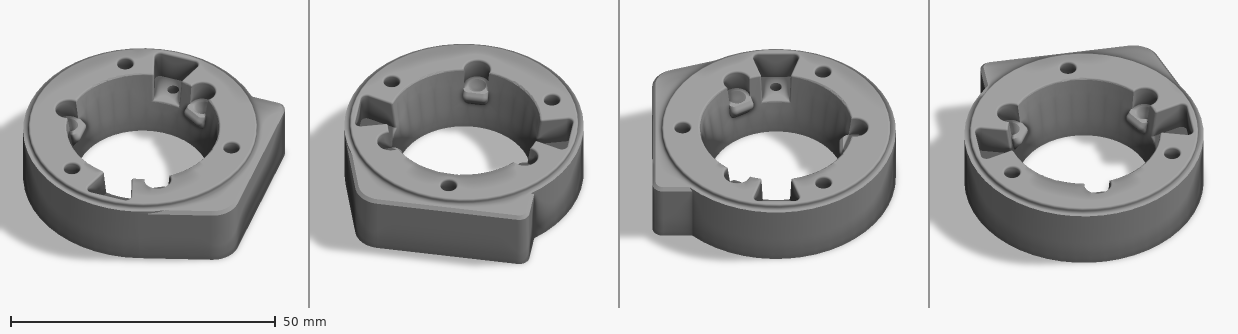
import cadquery as cq
import math

ring_diameter = 45.25
ring_radius = ring_diameter / 2
overall_length = 46
height = 13.0
shoulder_height = 12.0
edge_fillet = 0.35

rim_radius = 21.6
rim_foot_radius = 0.35

bore_bottom_radius = 12.65
bore_top_radius = 14.45

pad_right = overall_length - ring_radius
pad_top = 16.1
pad_slope = math.radians(17.3)
pad_chamfer = 0.6
pad_upper_fillet = 2.0
pad_lower_fillet = 5.0

screw_circle_radius = 17.7
screw_diameter = 3.0
screw_depth = 6.0
screw_angles = (0, 120, 240)

recess_floor = 7.0
recess_outer = 20.3
recess_inner = 9.2
recess_outer_half_width = 4.65
recess_side_slope = math.radians(17.5)
recess_corner_radius = 1.0
recess_hole_offset = 17.5
recess_hole_diameter = 2.2

seat_circle_radius = 14.8
seat_angles = (60, 180, 300)
seat_pocket_radius = 2.5
seat_height = 8.75
bracket_root = 15.65
bracket_top_end = 12.65
bracket_nose = 11.65
bracket_half_width = 2.4
bracket_under_angle = math.radians(34)
bracket_fillet = 0.9
dimple_radius = 1.75
dimple_depth = 0.75


def polar(radius, degrees):
    angle = math.radians(degrees)
    return (radius * math.cos(angle), radius * math.sin(angle))


def make_ring():
    foot_center = (rim_radius + rim_foot_radius, shoulder_height + rim_foot_radius)
    foot_inset = rim_foot_radius * math.sqrt(0.5)
    return (
        cq.Workplane("XZ")
        .lineTo(ring_radius, 0)
        .lineTo(ring_radius, shoulder_height)
        .lineTo(foot_center[0], shoulder_height)
        .threePointArc(
            (foot_center[0] - foot_inset, foot_center[1] - foot_inset),
            (rim_radius, foot_center[1]),
        )
        .lineTo(rim_radius, height)
        .lineTo(0, height)
        .close()
        .revolve(360, (0, 0), (0, 1))
    )


def make_pad():
    tangent = (ring_radius * math.sin(pad_slope), -ring_radius * math.cos(pad_slope))
    lower_corner_y = tangent[1] + (pad_right - tangent[0]) * math.tan(pad_slope)
    outline = [
        (0, 0),
        tangent,
        (pad_right, lower_corner_y),
        (pad_right, pad_top),
        (0, pad_top),
    ]
    pad = (
        cq.Workplane("XY")
        .polyline(outline)
        .close()
        .extrude(shoulder_height)
    )
    pad = pad.edges("|Z").edges(">X").edges(">Y").fillet(pad_upper_fillet)
    pad = pad.edges("|Z").edges(">X").edges("<Y").fillet(pad_lower_fillet)
    return pad.faces(">Z").edges().chamfer(pad_chamfer)


def make_bore():
    profile = [(0, 0), (bore_bottom_radius, 0), (bore_top_radius, height), (0, height)]
    return cq.Workplane("XZ").polyline(profile).close().revolve(360, (0, 0), (0, 1))


def make_recess():
    narrowing = (recess_outer - recess_inner) * math.tan(recess_side_slope)
    inner_half_width = recess_outer_half_width - narrowing
    recess = (
        cq.Workplane("XY")
        .workplane(offset=recess_floor)
        .polyline([
            (-inner_half_width, recess_inner),
            (inner_half_width, recess_inner),
            (recess_outer_half_width, recess_outer),
            (-recess_outer_half_width, recess_outer),
        ])
        .close()
        .extrude(height - recess_floor)
    )
    return recess.edges("|Z").edges(">Y").fillet(recess_corner_radius)


def make_holes(diameter, bottom, positions):
    return (
        cq.Workplane("XY")
        .workplane(offset=bottom)
        .pushPoints(positions)
        .circle(diameter / 2)
        .extrude(height - bottom)
    )


def round_openings(body):
    """Round the rim, every opening in the top face and the mouths of the recesses."""
    bore_taper = (bore_top_radius - bore_bottom_radius) / height
    mouth_radius = bore_bottom_radius + bore_taper * recess_floor
    edges = body.faces(">Z").edges().add(body.edges("%HYPERBOLA"))
    for y in (mouth_radius, -mouth_radius):
        mouth_floor = cq.selectors.NearestToPointSelector((0, y, recess_floor))
        edges = edges.add(body.edges(mouth_floor))
    return edges.fillet(edge_fillet)


def make_bracket():
    nose_height = seat_height - (bracket_top_end - bracket_nose)
    drop = (bracket_root - bracket_nose) / math.tan(bracket_under_angle)
    profile = [
        (bracket_root, seat_height),
        (bracket_top_end, seat_height),
        (bracket_nose, nose_height),
        (bracket_root, nose_height - drop),
    ]
    bracket = cq.Workplane("XZ").polyline(profile).close().extrude(bracket_half_width, both=True)
    nose = bracket.edges("<X")
    slope_sides = bracket.faces("not (|X or |Y or |Z)").edges("not |Y")
    return nose.add(slope_sides).fillet(bracket_fillet)


def make_dimple():
    ball_radius = (dimple_radius**2 + dimple_depth**2) / (2 * dimple_depth)
    ball_center = (seat_circle_radius, 0, seat_height - dimple_depth + ball_radius)
    return cq.Workplane("XY").sphere(ball_radius).translate(ball_center)


body = make_ring().union(make_pad()).cut(make_bore())
recess = make_recess()
body = body.cut(recess).cut(recess.mirror("XZ"))

screw_positions = [polar(screw_circle_radius, angle) for angle in screw_angles]
body = body.cut(make_holes(screw_diameter, height - screw_depth, screw_positions))
seat_positions = [polar(seat_circle_radius, angle) for angle in seat_angles]
body = body.cut(make_holes(2 * seat_pocket_radius, seat_height, seat_positions))
body = round_openings(body)

recess_hole_positions = [(0, recess_hole_offset), (0, -recess_hole_offset)]
body = body.cut(make_holes(recess_hole_diameter, 0, recess_hole_positions))

bracket = make_bracket()
dimple = make_dimple()
for angle in seat_angles:
    body = body.union(bracket.rotate((0, 0, 0), (0, 0, 1), angle))
    body = body.cut(dimple.rotate((0, 0, 0), (0, 0, 1), angle))

result = body